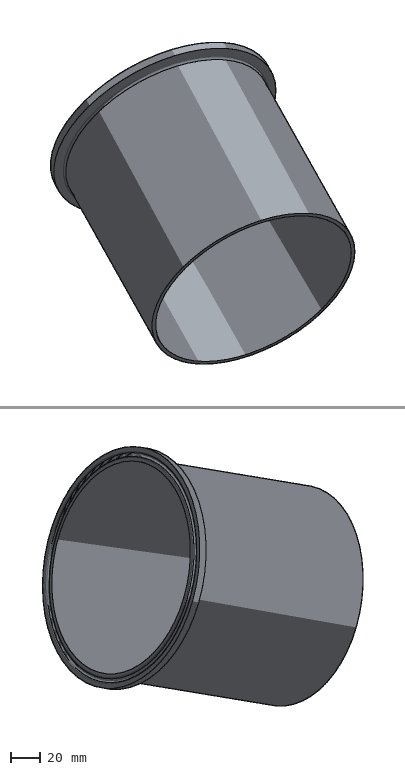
import cadquery as cq
import math

length = 152.4
tube_diameter = 152.4
bore_diameter = 146.9

flange_diameter = 166.9
rim_width = 5.7
back_angle = 20.0
neck_radius = 1.7

groove_outer_radius = 79.5
groove_inner_radius = 76.6
groove_depth = 1.3
groove_edge_radius = 0.8

size_tolerance = 0.02

tube_radius = tube_diameter / 2
bore_radius = bore_diameter / 2
flange_radius = flange_diameter / 2
back_width = (flange_radius - tube_radius) * math.tan(math.radians(back_angle))
neck_x = rim_width + back_width


def revolve_about_x(profile):
    """Turn a closed XY profile, with Y as the radius, around the X axis."""
    return profile.revolve(360, (0, 0, 0), (1, 0, 0))


def make_ferrule():
    """Tube and flange with a conical back, blended into the tube at the neck."""
    profile = (
        cq.Workplane("XY")
        .moveTo(0, bore_radius)
        .lineTo(0, flange_radius)
        .lineTo(rim_width, flange_radius)
        .lineTo(neck_x, tube_radius)
        .lineTo(length, tube_radius)
        .lineTo(length, bore_radius)
        .close()
    )
    neck_edge = cq.selectors.BoxSelector(
        (neck_x - neck_radius / 2, -flange_radius, -flange_radius),
        (neck_x + neck_radius / 2, flange_radius, flange_radius),
    )
    return revolve_about_x(profile).edges(neck_edge).fillet(neck_radius)


def make_groove():
    """Ring with a round bottom that cuts the gasket groove."""
    middle_radius = (groove_outer_radius + groove_inner_radius) / 2
    profile = (
        cq.Workplane("XY")
        .moveTo(0, groove_inner_radius)
        .threePointArc((groove_depth, middle_radius), (0, groove_outer_radius))
        .close()
    )
    return revolve_about_x(profile)


def round_groove_edges(body):
    """Round both rims of the groove on the flange face."""
    face_edges = body.faces("<X").edges()
    smallest = bore_radius + size_tolerance
    largest = flange_radius - size_tolerance
    rims = face_edges.filter(lambda edge: smallest < edge.radius() < largest)
    return rims.fillet(groove_edge_radius)


result = round_groove_edges(make_ferrule().cut(make_groove()))